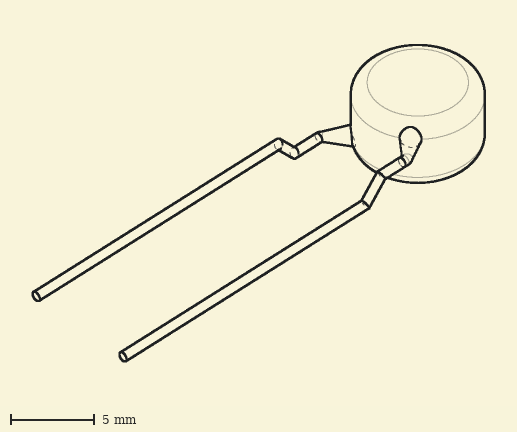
import cadquery as cq
import math

TOTAL_LENGTH = 31.8

DISC_RADIUS = 4.0
DISC_HEIGHT = 5.0
DISC_FILLET = 1.0

WIRE_RADIUS = 0.32
LEAD_PITCH = 7.5
LEAD_END_Y = DISC_RADIUS - TOTAL_LENGTH
KINK_START_Y = -6.58
KINK_END_Y = -7.9
EXIT_HEIGHT = DISC_HEIGHT / 2 - DISC_FILLET

ELBOW_RADIUS = 0.35
ELBOW_ANGLE = 40
ELBOW_END_Y = -4.58
CONE_BASE_RADIUS = 0.67
CONE_LENGTH = 1.78
CONE_EMBED = 0.65
RIGHT_COLLAR_LENGTH = 0.3

LEFT_LEAD = (-1, -EXIT_HEIGHT, 0)
RIGHT_LEAD = (1, EXIT_HEIGHT, RIGHT_COLLAR_LENGTH)


def make_disc():
    disc = cq.Workplane("XY").cylinder(DISC_HEIGHT, DISC_RADIUS)
    return disc.faces("|Z").edges().fillet(DISC_FILLET)


def make_lead(side, exit_z, collar_length):
    """Round wire with two mitred kinks that bring it to the middle height."""
    x = side * LEAD_PITCH / 2
    start_y = ELBOW_END_Y - collar_length
    path = cq.Workplane("XY").polyline([
        (x, start_y, exit_z),
        (x, KINK_START_Y, exit_z),
        (x, KINK_END_Y, 0),
        (x, LEAD_END_Y, 0),
    ])
    profile = cq.Workplane("XZ", origin=(x, start_y, exit_z)).circle(WIRE_RADIUS)
    return profile.sweep(path, transition="right")


def make_sleeve(side, exit_z, collar_length, disc):
    """Cone, elbow and collar as one solid, trimmed to sit on the disc."""
    x = side * LEAD_PITCH / 2
    elbow_end = cq.Workplane("XZ", origin=(x, ELBOW_END_Y, exit_z))

    sleeve = elbow_end.circle(WIRE_RADIUS).revolve(
        ELBOW_ANGLE, (-side * ELBOW_RADIUS, 0, 0), (-side * ELBOW_RADIUS, side, 0)
    )
    if collar_length > 0:
        sleeve = sleeve.union(elbow_end.circle(WIRE_RADIUS).extrude(collar_length))

    angle = math.radians(ELBOW_ANGLE)
    tip = cq.Vector(
        x - side * ELBOW_RADIUS * (1 - math.cos(angle)),
        ELBOW_END_Y + ELBOW_RADIUS * math.sin(angle),
        exit_z,
    )
    inward = cq.Vector(-side * math.sin(angle), math.cos(angle), 0)
    taper = (CONE_BASE_RADIUS - WIRE_RADIUS) / CONE_LENGTH
    reach = CONE_LENGTH + CONE_EMBED
    cone = cq.Solid.makeCone(WIRE_RADIUS, WIRE_RADIUS + taper * reach, reach, tip, inward)
    return sleeve.union(cq.Workplane(cone)).cut(disc)


disc = make_disc()
leads = []
sleeves = []
for side, exit_z, collar_length in (LEFT_LEAD, RIGHT_LEAD):
    leads.append(make_lead(side, exit_z, collar_length).val())
    sleeves.extend(make_sleeve(side, exit_z, collar_length, disc).solids().vals())

result = cq.Compound.makeCompound([disc.val(), *sleeves, *leads])